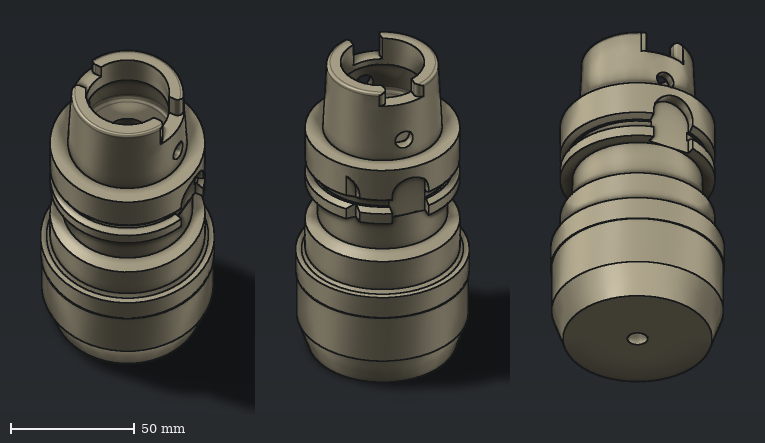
import cadquery as cq
import math

total_height = 137.0
nose_height = 13.7
band_bottom = 35.1
band_top = 45.2
band_chamfer = 1.4
shoulder_bottom = 60.3
neck_bottom = 63.2
flange_bottom = 78.9
groove_chamfer_bottom = 83.7
groove_bottom = 85.2
groove_top = 88.8
groove_chamfer_top = 90.4
flange_top = 105.1

nose_radius = 30.3
body_radius = 35.0
band_radius = 35.3
flange_radius = 31.5
neck_radius = 26.5
groove_radius = 27.7
groove_lip_radius = 28.8
shank_base_radius = 24.2
shank_top_radius = 22.7
shank_rounding = 1.4

mouth_radius = 17.0
mouth_depth = 12.9
clamping_shoulder_angle = 30
cavity_radius = 20.0
cavity_bottom = 109.3
cavity_rounding = 2.2
counterbore_radius = 8.9
counterbore_bottom = flange_bottom
through_radius = 4.1

cross_hole_radius = 3.8
cross_hole_height = 113.8

drive_half_width = 6.3
drive_corner_radius = 2.3
left_drive_depth = 6.0
right_drive_depth = 10.1

keyway_floor = neck_radius
keyway_arc_height = 92.0
left_keyway_half_width = 8.0
right_keyway_half_width = 9.0
notch_floor = 20.3
notch_edge = 19.9
notch_half_width = right_keyway_half_width


def turned_body():
    profile = (
        cq.Workplane("XZ")
        .lineTo(nose_radius, 0)
        .lineTo(body_radius, nose_height)
        .lineTo(body_radius, band_bottom)
        .lineTo(band_radius, band_bottom)
        .lineTo(band_radius, band_top)
        .lineTo(flange_radius + band_chamfer, band_top)
        .lineTo(flange_radius, band_top + band_chamfer)
        .lineTo(flange_radius, shoulder_bottom)
        .lineTo(neck_radius, neck_bottom)
        .lineTo(neck_radius, flange_bottom)
        .lineTo(flange_radius, flange_bottom)
        .lineTo(flange_radius, groove_chamfer_bottom)
        .lineTo(groove_lip_radius, groove_bottom)
        .lineTo(groove_radius, groove_bottom)
        .lineTo(groove_radius, groove_top)
        .lineTo(groove_lip_radius, groove_top)
        .lineTo(flange_radius, groove_chamfer_top)
        .lineTo(flange_radius, flange_top)
        .lineTo(shank_base_radius, flange_top)
        .lineTo(shank_top_radius, total_height)
        .lineTo(0, total_height)
        .close()
    )
    return profile.revolve(360, (0, 0), (0, 1)).faces(">Z").edges().fillet(shank_rounding)


def stepped_bore():
    mouth_bottom = total_height - mouth_depth
    shoulder_drop = (cavity_radius - mouth_radius) * math.tan(math.radians(clamping_shoulder_angle))
    profile = (
        cq.Workplane("XZ")
        .lineTo(through_radius, 0)
        .lineTo(through_radius, counterbore_bottom)
        .lineTo(counterbore_radius, counterbore_bottom)
        .lineTo(counterbore_radius, cavity_bottom)
        .lineTo(cavity_radius, cavity_bottom)
        .lineTo(cavity_radius, mouth_bottom - shoulder_drop)
        .lineTo(mouth_radius, mouth_bottom)
        .lineTo(mouth_radius, total_height)
        .lineTo(0, total_height)
        .close()
    )
    bore = profile.revolve(360, (0, 0), (0, 1))
    widest_rims = cq.selectors.RadiusNthSelector(-1)
    return bore.edges(widest_rims).edges("<Z").fillet(cavity_rounding)


def cross_hole():
    return (
        cq.Workplane("YZ")
        .center(0, cross_hole_height)
        .circle(cross_hole_radius)
        .extrude(2 * shank_base_radius, both=True)
    )


def drive_slot(side, depth):
    """Slot through one rim wall, its outer corners rounded into the shank surface."""
    centre_y = drive_half_width + drive_corner_radius
    centre_reach = shank_top_radius - drive_corner_radius
    centre_x = math.sqrt(centre_reach**2 - centre_y**2)
    blend_angle = math.atan2(centre_y, centre_x)
    mid_angle = (blend_angle - math.pi / 2) / 2
    arc_mid = (
        centre_x + drive_corner_radius * math.cos(mid_angle),
        centre_y + drive_corner_radius * math.sin(mid_angle),
    )
    arc_end = (shank_top_radius * math.cos(blend_angle), shank_top_radius * math.sin(blend_angle))
    outer_x = 2 * arc_end[0]
    outer_y = 2 * arc_end[1]
    slot = (
        cq.Workplane("XY", origin=(0, 0, total_height - depth))
        .lineTo(0, drive_half_width)
        .lineTo(centre_x, drive_half_width)
        .threePointArc(arc_mid, arc_end)
        .lineTo(outer_x, outer_y)
        .lineTo(outer_x, 0)
        .close()
        .extrude(depth)
    )
    slot = slot.union(slot.mirror("XZ"))
    return slot if side > 0 else slot.mirror("YZ")


def round_topped_cut(side, floor, centre_y, half_width):
    """Cut inward along X to the floor plane, open at the flange underside."""
    depth = flange_radius - floor
    cutter = (
        cq.Workplane("YZ", origin=(floor, 0, 0))
        .moveTo(centre_y - half_width, flange_bottom)
        .lineTo(centre_y - half_width, keyway_arc_height)
        .threePointArc(
            (centre_y, keyway_arc_height + half_width),
            (centre_y + half_width, keyway_arc_height),
        )
        .lineTo(centre_y + half_width, flange_bottom)
        .close()
        .extrude(depth)
    )
    return cutter if side > 0 else cutter.mirror("YZ")


result = (
    turned_body()
    .cut(stepped_bore())
    .cut(cross_hole())
    .cut(drive_slot(-1, left_drive_depth))
    .cut(drive_slot(1, right_drive_depth))
    .cut(round_topped_cut(-1, keyway_floor, 0, left_keyway_half_width))
    .cut(round_topped_cut(1, keyway_floor, 0, right_keyway_half_width))
    .cut(round_topped_cut(-1, notch_floor, notch_edge + notch_half_width, notch_half_width))
)